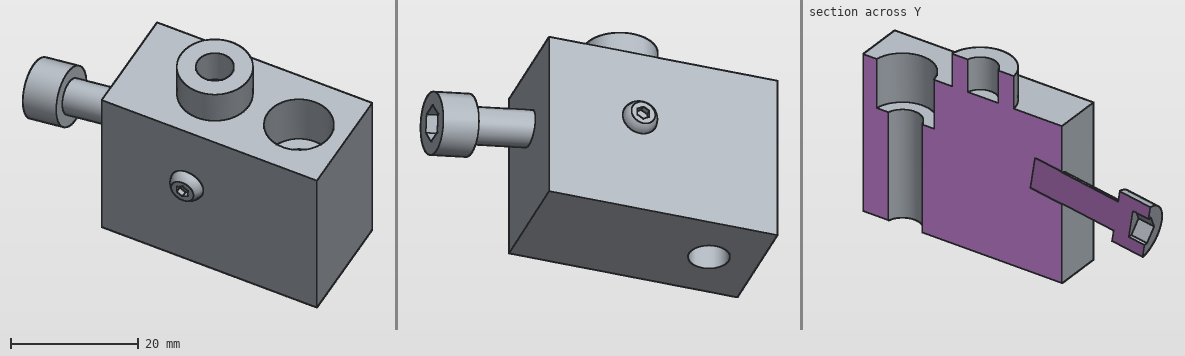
import cadquery as cq
import math

block_length = 38.1
block_width = 19.0
block_height = 29.0
front_y = -block_width / 2

boss_x = 15.15
boss_diameter = 12.0
boss_height = 6.0
boss_bore_diameter = boss_diameter / 2

mount_x = 30.0
mount_diameter = 6.6
counterbore_diameter = 11.0
counterbore_depth = 9.0

button_z = -12.0
button_height = 1.65
button_base_radius = 2.85
button_middle_radius = 2.65
button_tip_radius = 2.0
button_hex_width = 2.0
button_hex_depth = 1.05

screw_tilt = 8.7
screw_face_x = -16.2
screw_face_z = -13.9
head_diameter = 10.0
head_length = 6.0
shank_diameter = 6.0
shank_length = 16.0
screw_hex_width = 5.0
screw_hex_depth = 3.0


def corner_diameter(hex_width):
    """Diameter across the corners of a hexagon from its width across flats."""
    return hex_width / math.cos(math.radians(30))


def make_button():
    """Domed button with a hexagonal socket, standing out along -Y."""
    base = cq.Plane(origin=(boss_x, front_y, button_z), xDir=(0, 0, 1), normal=(0, -1, 0))
    profile = (
        cq.Workplane(cq.Plane(origin=base.origin, xDir=(1, 0, 0), normal=(0, 0, 1)))
        .lineTo(button_base_radius, 0)
        .threePointArc((button_middle_radius, -button_height / 2), (button_tip_radius, -button_height))
        .lineTo(0, -button_height)
        .close()
    )
    dome = profile.revolve(360, (0, 0), (0, 1))
    socket = (
        cq.Workplane(base)
        .workplane(offset=button_height - button_hex_depth)
        .polygon(6, corner_diameter(button_hex_width))
        .extrude(button_hex_depth)
    )
    return dome.cut(socket)


def make_screw_plane():
    """Plane on the outer face of the screw head, its normal along the screw into the block."""
    angle = math.radians(screw_tilt)
    return cq.Plane(
        origin=(screw_face_x, 0, screw_face_z),
        xDir=(0, 1, 0),
        normal=(math.cos(angle), 0, math.sin(angle)),
    )


def make_shank():
    """Plain shank starting under the screw head; also the shape of its hole."""
    under_head = cq.Workplane(make_screw_plane()).workplane(offset=head_length)
    return under_head.circle(shank_diameter / 2).extrude(shank_length)


def make_cap_screw():
    """Cylindrical head with a hexagonal socket, on a plain shank."""
    face = cq.Workplane(make_screw_plane())
    head = face.circle(head_diameter / 2).extrude(head_length)
    socket = face.polygon(6, corner_diameter(screw_hex_width)).extrude(screw_hex_depth)
    return head.union(make_shank()).cut(socket)


def make_housing():
    """Block with its boss, button, mounting hole and tilted screw hole."""
    block = cq.Workplane("XY").box(
        block_length, block_width, block_height, centered=(False, True, False)
    ).translate((0, 0, -block_height))
    boss = (
        cq.Workplane("XY")
        .center(boss_x, 0)
        .circle(boss_diameter / 2)
        .circle(boss_bore_diameter / 2)
        .extrude(boss_height)
    )
    drilled_block = (
        block.faces(">Z")
        .workplane(origin=(mount_x, 0, 0))
        .cboreHole(mount_diameter, counterbore_diameter, counterbore_depth)
    )
    return drilled_block.union(boss).union(make_button()).cut(make_shank())


housing = make_housing()
cap_screw = make_cap_screw()

result = cq.Compound.makeCompound([housing.solids().val(), cap_screw.solids().val()])